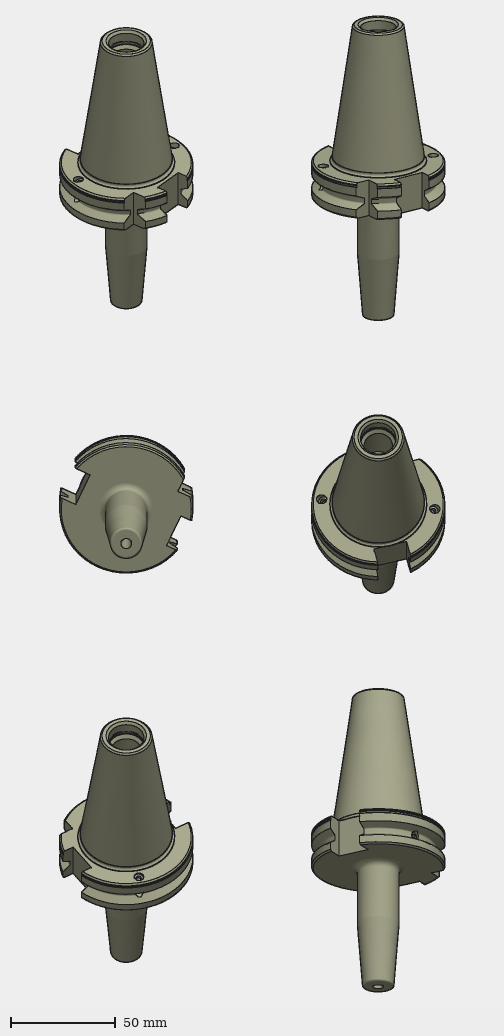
import cadquery as cq
import math


gauge_radius = 44.45 / 2
taper_slope = 7 / 24 / 2
shank_top = 68.4
shank_top_chamfer = 0.75
shank_foot = 1.1
relief_radius = 21.85
relief_fillet = 1.1
relief_bevel = 0.2

flange_radius = 63.55 / 2
flange_top = -1.0
flange_bottom = -19.1
flange_top_chamfer = 0.8
flange_bottom_chamfer = 0.8
ring_groove_top = -2.3
ring_groove_bottom = -3.2
ring_groove_depth = 0.4
gripper_groove_z = -11.1
gripper_floor_radius = 27.95
gripper_floor_width = 2.7
gripper_floor_fillet = 0.6
gripper_flank_angle = 30

slot_width = 16.1
slot_floor_left = 22.8
slot_floor_right = 25.0
notch_corner = 18.5

coolant_angle = 20
coolant_hole_tilt = 20
coolant_hole_diameter = 4.6
coolant_hole_depth = 2.0
coolant_core_diameter = 2.5
coolant_core_depth = 4.0
coolant_pitch_radius = 27.1
side_hole_diameter = 4.0
side_hole_depth = 1.5
side_core_diameter = 2.2
side_core_depth = 3.0
hole_entry = 2.5

nose_bottom = -80.0
nose_radius = 10.0
nose_tip_radius = 7.5
nose_cone_top = -47.9
nose_tip_fillet = 1.0
nose_root_fillet = 3.0

mouth_radius = 9.6
mouth_depth = 1.2
socket_radius = 8.4
socket_depth = 6.0
socket_relief_radius = 8.95
socket_relief_width = 1.6
thread_radius = 6.8
thread_depth = 28.0
passage_radius = 3.85
passage_depth = 40.0
tool_bore_radius = 2.5
drill_point_angle = 59


def shank_radius(z):
    return gauge_radius - taper_slope * z


def drill_point_height(radius):
    return radius / math.tan(math.radians(drill_point_angle))


def make_body():
    flank_height = (flange_radius - gripper_floor_radius) * math.tan(math.radians(gripper_flank_angle))
    floor_top = gripper_groove_z + gripper_floor_width / 2
    floor_bottom = gripper_groove_z - gripper_floor_width / 2
    ring_floor_radius = flange_radius - ring_groove_depth
    relief_foot = flange_top + relief_bevel
    arc = math.sqrt(0.5)
    profile = (
        cq.Workplane("YZ")
        .moveTo(0, shank_top)
        .lineTo(shank_radius(shank_top) - shank_top_chamfer, shank_top)
        .lineTo(shank_radius(shank_top - shank_top_chamfer), shank_top - shank_top_chamfer)
        .lineTo(shank_radius(shank_foot), shank_foot)
        .lineTo(relief_radius, shank_foot)
        .lineTo(relief_radius, relief_foot + relief_fillet)
        .threePointArc(
            (relief_radius + relief_fillet * (1 - arc), relief_foot + relief_fillet * (1 - arc)),
            (relief_radius + relief_fillet, relief_foot),
        )
        .lineTo(relief_radius + relief_fillet + relief_bevel, flange_top)
        .lineTo(flange_radius - flange_top_chamfer, flange_top)
        .lineTo(flange_radius, flange_top - flange_top_chamfer)
        .lineTo(flange_radius, ring_groove_top)
        .lineTo(ring_floor_radius, ring_groove_top)
        .lineTo(ring_floor_radius, ring_groove_bottom)
        .lineTo(flange_radius, ring_groove_bottom)
        .lineTo(flange_radius, floor_top + flank_height)
        .lineTo(gripper_floor_radius, floor_top)
        .lineTo(gripper_floor_radius, floor_bottom)
        .lineTo(flange_radius, floor_bottom - flank_height)
        .lineTo(flange_radius, flange_bottom + flange_bottom_chamfer)
        .lineTo(flange_radius - flange_bottom_chamfer, flange_bottom)
        .lineTo(nose_radius + nose_root_fillet, flange_bottom)
        .threePointArc(
            (nose_radius + nose_root_fillet * (1 - arc), flange_bottom - nose_root_fillet * (1 - arc)),
            (nose_radius, flange_bottom - nose_root_fillet),
        )
        .lineTo(nose_radius, nose_cone_top)
        .lineTo(nose_tip_radius, nose_bottom)
        .lineTo(0, nose_bottom)
        .close()
    )
    body = profile.revolve(360, (0, 0, 0), (0, 1, 0))
    body = body.faces("<Z").edges().fillet(nose_tip_fillet)
    groove_floor_edges = cq.selectors.BoxSelector(
        (-gripper_floor_radius, -gripper_floor_radius, floor_bottom - gripper_floor_fillet),
        (gripper_floor_radius, gripper_floor_radius, floor_top + gripper_floor_fillet),
        boundingbox=False,
    )
    return body.edges(groove_floor_edges).fillet(gripper_floor_fillet)


def make_bore():
    relief_bottom = shank_top - socket_depth - socket_relief_width
    thread_bottom = shank_top - thread_depth
    passage_bottom = shank_top - passage_depth
    point = drill_point_height
    return (
        cq.Workplane("YZ")
        .moveTo(0, shank_top)
        .lineTo(mouth_radius, shank_top)
        .lineTo(socket_radius, shank_top - mouth_depth)
        .lineTo(socket_radius, shank_top - socket_depth)
        .lineTo(socket_relief_radius, shank_top - socket_depth)
        .lineTo(socket_relief_radius, relief_bottom)
        .lineTo(socket_radius, relief_bottom)
        .lineTo(thread_radius, relief_bottom - (socket_radius - thread_radius))
        .lineTo(thread_radius, thread_bottom)
        .lineTo(passage_radius, thread_bottom - point(thread_radius) + point(passage_radius))
        .lineTo(passage_radius, passage_bottom)
        .lineTo(tool_bore_radius, passage_bottom - point(passage_radius) + point(tool_bore_radius))
        .lineTo(tool_bore_radius, nose_bottom)
        .lineTo(0, nose_bottom)
        .close()
        .revolve(360, (0, 0, 0), (0, 1, 0))
    )


def corner_block(x_from, x_to, y_from, y_to):
    """Block over the whole flange height, for cutting slots and notches."""
    return cq.Workplane("XY").box(
        x_to - x_from, y_to - y_from, flange_top - flange_bottom, centered=False
    ).translate((x_from, y_from, flange_bottom))


def make_flange_cuts():
    half_slot = slot_width / 2
    left_slot = corner_block(-flange_radius, -slot_floor_left, -half_slot, half_slot)
    right_slot = corner_block(slot_floor_right, flange_radius, -half_slot, half_slot)
    notch = corner_block(notch_corner, flange_radius, -flange_radius, -notch_corner)
    return left_slot.union(right_slot).union(notch)


def stepped_hole(diameter, depth, core_diameter, core_depth, entry):
    """Hole with a flat step and a narrower core, running down -Z, opening `entry` above the origin."""
    hole = cq.Workplane("XY").workplane(offset=-depth).circle(diameter / 2).extrude(depth + entry)
    core = cq.Workplane("XY").workplane(offset=-core_depth).circle(core_diameter / 2).extrude(core_depth)
    return hole.union(core)


def make_coolant_holes():
    down = stepped_hole(
        coolant_hole_diameter, coolant_hole_depth, coolant_core_diameter, coolant_core_depth, hole_entry
    )
    down = down.rotate((0, 0, 0), (1, 0, 0), -coolant_hole_tilt)
    down = down.translate((0, coolant_pitch_radius, flange_top))
    side = stepped_hole(side_hole_diameter, side_hole_depth, side_core_diameter, side_core_depth, hole_entry)
    side = side.rotate((0, 0, 0), (1, 0, 0), -90)
    side = side.translate((0, gripper_floor_radius, gripper_groove_z))
    pair = down.union(side)
    holes = cq.Workplane("XY")
    for turn in (-coolant_angle, 180 - coolant_angle):
        holes = holes.union(pair.rotate((0, 0, 0), (0, 0, 1), turn))
    return holes


result = make_body().cut(make_bore()).cut(make_flange_cuts()).cut(make_coolant_holes())